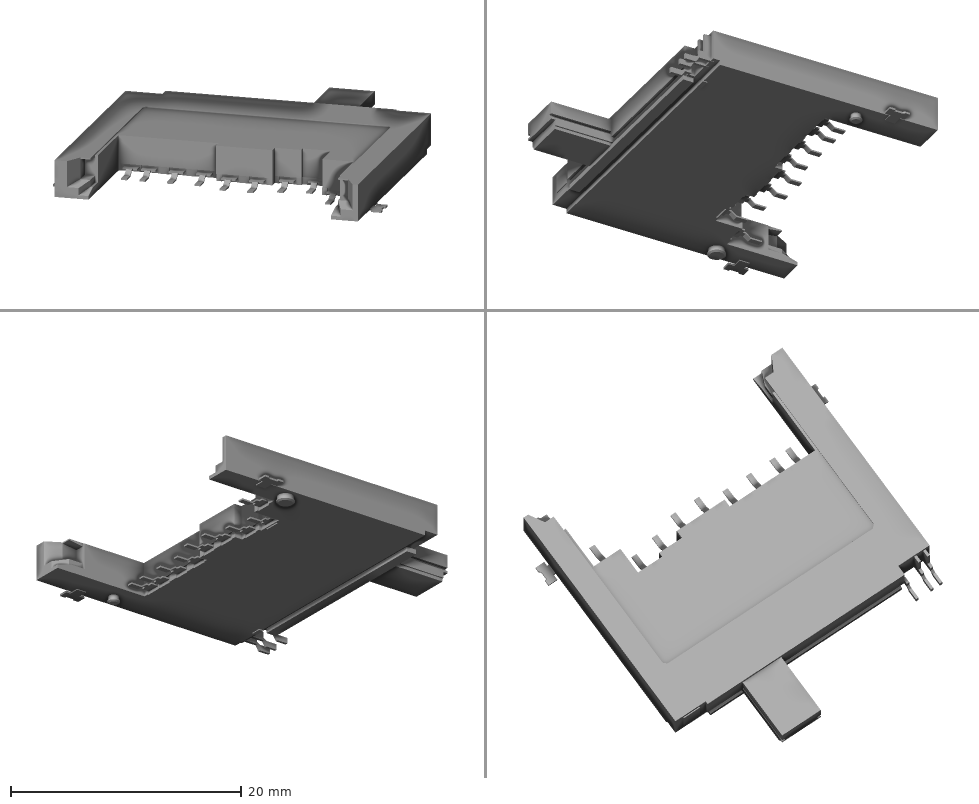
import cadquery as cq


HOUSING_HALF_WIDTH = 13.72
HOUSING_TOP = 3.33
REAR_Y = 23.02
REAR_LEFT_Y = 22.33
REAR_STEP_X = -10.4

OPENING_CENTER_X = 0.33
OPENING_HALF_WIDTH = 10.95
OPENING_LEFT_X = OPENING_CENTER_X - OPENING_HALF_WIDTH
OPENING_RIGHT_X = OPENING_CENTER_X + OPENING_HALF_WIDTH
DECK_SPLIT_Z = 0.65
DECK_STEPS_X = (-1.57, 3.5, 5.9, 8.45)
DECK_FRONT_Y = 9.4
DECK_MIDDLE_Y = 8.6
DECK_NOTCH_Y = 9.83
DECK_RIGHT_Y = 7.15
BASE_LEDGE = 0.12
BASE_SETBACK = 0.05

RECESS_HALF_WIDTH = 11.2
RECESS_REAR_Y = 18.25
RECESS_CORNER = 0.3
RECESS_FLOOR_Z = 3.2

GUIDE_DEPTH = 2.9
FUNNEL_DEPTH = 1.43
UPPER_HALF_WIDTH = 12.12
UPPER_MOUTH_HALF_WIDTH = 12.92
UPPER_FLOOR_Z = 1.37
UPPER_MOUTH_FLOOR_Z = 0.98
ROOF_FRONT_Z = 3.2
ROOF_REAR_Z = 3.0
LOWER_MOUTH_HALF_WIDTH = 11.85
LOWER_FLOOR_Z = 0.75
LOWER_MOUTH_FLOOR_Z = 0.33

COVER_REAR_Y = 23.3
COVER_RIGHT_X = 10.5
COVER_BOTTOM_Z = 1.22
COVER_TOP_Z = 3.0
FOOT_INSET = 0.3
FOOT_HEIGHT = 0.45
RELIEF_FRONT_Y = 21.65
FOOT_FRONT_Y = 22.3
LATCH_LEFT_X = 11.17
LATCH_WIDTH = 1.72
LATCH_DEPTH = 0.1

PLUNGER_LEFT_X = 2.7
PLUNGER_WIDTH = 4.1
PLUNGER_REAR_Y = 29.3
PLUNGER_TOP_Z = 3.0
PLUNGER_GROOVE_TOP_Z = 1.78
PLUNGER_GROOVE_BOTTOM_Z = 1.45
PLUNGER_GROOVE_DEPTH = 0.33
PLUNGER_HEAD_BOTTOM_Z = 1.25
RAIL_REAR_Y = 28.87
RAIL_STEP_Z = 0.68
RAIL_BOTTOM_Z = 0.4
RAIL_STEP = 0.15

CONTACT_PITCH = 2.5
PITCHED_CONTACTS = 8
LAST_CONTACT_X = 9.68
FIRST_CONTACT_X = -9.45
CONTACT_BOTTOM_Z = -0.1
CONTACT_THICKNESS = 0.15
CONTACT_TOP_Z = 0.45
CONTACT_HEAD_WIDTH = 1.3
CONTACT_HEAD_LENGTH = 0.55
CONTACT_BEND_START = 0.83
CONTACT_BEND_END = 1.35
CONTACT_LENGTH = 2.45
CONTACT_TAIL_WIDTH = 0.53
CONTACT_ROOT = 0.3
WINDOW_WIDTH = 1.55
WINDOW_DEPTH = 0.15

SWITCH_PINS_X = (-13.15, -12.2, -10.63)
SWITCH_PIN_THICKNESS = 0.27
SWITCH_PIN_REAR_Y = 24.9
SWITCH_PIN_HEEL_Y = 23.82
SWITCH_PIN_SHANK_Y = 23.5
SWITCH_PIN_SHOULDER_Z = 1.2
SWITCH_PIN_ELBOW_Z = 0.65
SWITCH_PIN_BLADE_Y = 23.0
SWITCH_PIN_BLADE_TOP_Z = 3.0
SWITCH_PIN_TAIL_TOP_Z = 0.45
SWITCH_PIN_ROOT_Z = 0.42
SWITCH_PIN_BOTTOM_Z = -0.1
SHORT_PIN_FRONT_Y = 22.87

TAB_REACH_X = 14.85
TAB_PAD_X = 13.93
TAB_INNER_X = 12.95
TAB_FRONT_Y = 3.42
TAB_REAR_Y = 5.4
TAB_NECK_FRONT_Y = 3.85
TAB_NECK_REAR_Y = 4.85
TAB_NOTCH_DEPTH = 0.18
TAB_HALF_THICKNESS = 0.1

PAD_X = -10.78
PAD_WIDTH = 0.98
PAD_Y = 21.3
PAD_LENGTH = 0.45
PAD_HALF_THICKNESS = 0.1

PEG_Y = 7.37
LEFT_PEG_X = -12.33
LEFT_PEG_RADIUS = 0.55
RIGHT_PEG_X = 12.53
RIGHT_PEG_RADIUS = 0.83
PEG_BOTTOM_Z = -0.62
PEG_BARB_Z = -0.42
PEG_BARB_EDGE_Z = -0.5
PEG_BARB = 0.1
PEG_TAPER = 0.18

OVERLAP = 0.3


def box(x0, x1, y0, y1, z0, z1):
    return cq.Workplane("XY").box(x1 - x0, y1 - y0, z1 - z0, centered=False).translate((x0, y0, z0))


def plate(points, z0, z1):
    return cq.Workplane("XY").workplane(offset=z0).polyline(points).close().extrude(z1 - z0)


def side_profile(points, x0, x1):
    """Extrude an outline of (y, z) points from x0 to x1."""
    return cq.Workplane("YZ").workplane(offset=x0).polyline(points).close().extrude(x1 - x0)


def both_arms(right_shape):
    """Return a right-arm shape together with its mirror image on the left arm."""
    left_shape = right_shape.mirror("YZ", (OPENING_CENTER_X, 0, 0))
    return right_shape.union(left_shape)


def housing_outline(setback, ledge):
    """U-shaped outline; setback moves the left deck steps back, ledge the right two forward."""
    step_1, step_2, step_3, step_4 = DECK_STEPS_X
    front_y = DECK_FRONT_Y + setback
    middle_y = DECK_MIDDLE_Y + setback
    notch_y = DECK_NOTCH_Y - ledge
    right_y = DECK_RIGHT_Y - ledge
    return [
        (-HOUSING_HALF_WIDTH, 0),
        (OPENING_LEFT_X, 0),
        (OPENING_LEFT_X, front_y),
        (step_1, front_y),
        (step_1, middle_y),
        (step_2, middle_y),
        (step_2, front_y),
        (step_3, front_y),
        (step_3, notch_y),
        (step_4, notch_y),
        (step_4, right_y),
        (OPENING_RIGHT_X, right_y),
        (OPENING_RIGHT_X, 0),
        (HOUSING_HALF_WIDTH, 0),
        (HOUSING_HALF_WIDTH, REAR_Y),
        (REAR_STEP_X, REAR_Y),
        (REAR_STEP_X, REAR_LEFT_Y),
        (-HOUSING_HALF_WIDTH, REAR_LEFT_Y),
    ]


def housing():
    base = plate(housing_outline(BASE_SETBACK, BASE_LEDGE), 0, DECK_SPLIT_Z)
    deck = plate(housing_outline(0, 0), DECK_SPLIT_Z, HOUSING_TOP)
    return base.union(deck)


def top_recess():
    left = OPENING_CENTER_X - RECESS_HALF_WIDTH
    recess = box(left, left + 2 * RECESS_HALF_WIDTH, 0, RECESS_REAR_Y, RECESS_FLOOR_Z, HOUSING_TOP)
    return recess.edges("|Z and >Y").chamfer(RECESS_CORNER)


def funnel(inner_x, throat_x, mouth_x, throat_floor, mouth_floor, top):
    """Flared mouth whose floor and outer wall open toward the card entry."""

    def section(plane_y, outer_x, floor):
        corners = [(inner_x, floor), (outer_x, floor), (outer_x, top), (inner_x, top)]
        return cq.Wire.makePolygon([cq.Vector(x, plane_y, z) for x, z in corners], close=True)

    mouth = section(0, mouth_x, mouth_floor)
    throat = section(FUNNEL_DEPTH, throat_x, throat_floor)
    return cq.Workplane(cq.Solid.makeLoft([mouth, throat], True))


def card_guides():
    inner_x = OPENING_RIGHT_X - OVERLAP
    recess_x = OPENING_CENTER_X + RECESS_HALF_WIDTH
    upper_x = OPENING_CENTER_X + UPPER_HALF_WIDTH
    upper_mouth_x = OPENING_CENTER_X + UPPER_MOUTH_HALF_WIDTH
    lower_mouth_x = OPENING_CENTER_X + LOWER_MOUTH_HALF_WIDTH

    upper_funnel = funnel(inner_x, upper_x, upper_mouth_x, UPPER_FLOOR_Z, UPPER_MOUTH_FLOOR_Z, HOUSING_TOP)
    lower_funnel = funnel(inner_x, recess_x, lower_mouth_x, LOWER_FLOOR_Z, LOWER_MOUTH_FLOOR_Z, UPPER_FLOOR_Z)
    channel = side_profile(
        [
            (FUNNEL_DEPTH, UPPER_FLOOR_Z),
            (GUIDE_DEPTH, UPPER_FLOOR_Z),
            (GUIDE_DEPTH, ROOF_REAR_Z),
            (FUNNEL_DEPTH, ROOF_FRONT_Z),
        ],
        inner_x,
        upper_x,
    )
    edge_slot = box(inner_x, recess_x, FUNNEL_DEPTH, GUIDE_DEPTH, LOWER_FLOOR_Z, HOUSING_TOP)
    return both_arms(upper_funnel.union(lower_funnel).union(channel).union(edge_slot))


def rear_details():
    inside_y = REAR_Y - OVERLAP
    cover = box(REAR_STEP_X, COVER_RIGHT_X, inside_y, COVER_REAR_Y, COVER_BOTTOM_Z, HOUSING_TOP)
    foot = box(
        REAR_STEP_X + FOOT_INSET,
        COVER_RIGHT_X - FOOT_INSET,
        FOOT_FRONT_Y,
        COVER_REAR_Y,
        0,
        FOOT_HEIGHT,
    )
    latch_right_x = LATCH_LEFT_X + LATCH_WIDTH
    latch = box(LATCH_LEFT_X, latch_right_x, inside_y, REAR_Y + LATCH_DEPTH, COVER_BOTTOM_Z, COVER_TOP_Z)
    return cover.union(foot).union(latch)


def bottom_relief():
    """Step across the underside, from ahead of the foot to the rear face."""
    width = HOUSING_HALF_WIDTH
    return box(-width, width, RELIEF_FRONT_Y, REAR_Y, 0, FOOT_HEIGHT)


def plunger():
    left = PLUNGER_LEFT_X
    right = PLUNGER_LEFT_X + PLUNGER_WIDTH
    front = REAR_Y - OVERLAP
    head = box(left, right, front, PLUNGER_REAR_Y, PLUNGER_HEAD_BOTTOM_Z, PLUNGER_TOP_Z)
    for x in (left, right - PLUNGER_GROOVE_DEPTH):
        groove = box(
            x,
            x + PLUNGER_GROOVE_DEPTH,
            COVER_REAR_Y,
            PLUNGER_REAR_Y,
            PLUNGER_GROOVE_BOTTOM_Z,
            PLUNGER_GROOVE_TOP_Z,
        )
        head = head.cut(groove)
    rail = box(left, right, front, RAIL_REAR_Y, RAIL_STEP_Z, PLUNGER_HEAD_BOTTOM_Z)
    keel = box(left + RAIL_STEP, right - RAIL_STEP, front, RAIL_REAR_Y, RAIL_BOTTOM_Z, RAIL_STEP_Z)
    return head.union(rail).union(keel)


def contact_positions():
    """List the (x, y) of each contact at the deck edge."""
    step_1, step_2, step_3, step_4 = DECK_STEPS_X
    positions = []
    row = [LAST_CONTACT_X - CONTACT_PITCH * i for i in range(PITCHED_CONTACTS)]
    for x in row + [FIRST_CONTACT_X]:
        if x > step_4:
            y = DECK_RIGHT_Y - BASE_LEDGE
        elif x > step_3:
            y = DECK_NOTCH_Y
        elif step_1 < x < step_2:
            y = DECK_MIDDLE_Y
        else:
            y = DECK_FRONT_Y
        positions.append((x, y))
    return positions


def contact_window(x, y):
    half = WINDOW_WIDTH / 2
    return box(x - half, x + half, y, y + WINDOW_DEPTH, 0, DECK_SPLIT_Z)


def contact(x, y):
    """Flat head leaving the base, bent down into a narrow solder tail."""
    head_half = CONTACT_HEAD_WIDTH / 2
    tail_half = CONTACT_TAIL_WIDTH / 2
    head_bottom = CONTACT_TOP_Z - CONTACT_THICKNESS
    tail_top = CONTACT_BOTTOM_Z + CONTACT_THICKNESS
    head = box(
        x - head_half,
        x + head_half,
        y - CONTACT_HEAD_LENGTH,
        y + CONTACT_ROOT,
        head_bottom,
        CONTACT_TOP_Z,
    )
    tail = side_profile(
        [
            (y, CONTACT_TOP_Z),
            (y - CONTACT_BEND_START, CONTACT_TOP_Z),
            (y - CONTACT_BEND_END, tail_top),
            (y - CONTACT_LENGTH, tail_top),
            (y - CONTACT_LENGTH, CONTACT_BOTTOM_Z),
            (y - CONTACT_BEND_END, CONTACT_BOTTOM_Z),
            (y - CONTACT_BEND_START, head_bottom),
            (y, head_bottom),
        ],
        x - tail_half,
        x + tail_half,
    )
    return head.union(tail)


def switch_pin(x, front_y):
    half = SWITCH_PIN_THICKNESS / 2
    return side_profile(
        [
            (SWITCH_PIN_REAR_Y, SWITCH_PIN_BOTTOM_Z),
            (SWITCH_PIN_HEEL_Y, SWITCH_PIN_BOTTOM_Z),
            (SWITCH_PIN_SHANK_Y, SWITCH_PIN_ROOT_Z),
            (front_y, SWITCH_PIN_ROOT_Z),
            (front_y, SWITCH_PIN_SHOULDER_Z),
            (SWITCH_PIN_SHANK_Y, SWITCH_PIN_SHOULDER_Z),
            (SWITCH_PIN_SHANK_Y, SWITCH_PIN_ELBOW_Z),
            (SWITCH_PIN_HEEL_Y, SWITCH_PIN_TAIL_TOP_Z),
            (SWITCH_PIN_REAR_Y, SWITCH_PIN_TAIL_TOP_Z),
        ],
        x - half,
        x + half,
    )


def switch_pins():
    """Two pins with tall blades on the rear face, and a short one rooted beside the cover."""
    outer_x, middle_x, inner_x = SWITCH_PINS_X
    front_y = REAR_LEFT_Y - OVERLAP
    inner_pin = switch_pin(inner_x, SHORT_PIN_FRONT_Y)
    root = box(
        inner_x,
        REAR_STEP_X + OVERLAP,
        SHORT_PIN_FRONT_Y,
        REAR_Y,
        FOOT_HEIGHT,
        SWITCH_PIN_SHOULDER_Z,
    )
    pins = inner_pin.union(root)
    half = SWITCH_PIN_THICKNESS / 2
    for x in (outer_x, middle_x):
        blade = box(x - half, x + half, front_y, SWITCH_PIN_BLADE_Y, SWITCH_PIN_ROOT_Z, SWITCH_PIN_BLADE_TOP_Z)
        pins = pins.union(switch_pin(x, front_y)).union(blade)
    return pins


def solder_tab():
    """Right-hand tab; its inner end lies under the housing."""
    pad = plate(
        [
            (TAB_PAD_X, TAB_FRONT_Y),
            (TAB_REACH_X, TAB_FRONT_Y),
            (TAB_REACH_X, TAB_NECK_FRONT_Y),
            (TAB_REACH_X - TAB_NOTCH_DEPTH, TAB_NECK_FRONT_Y + TAB_NOTCH_DEPTH),
            (TAB_REACH_X - TAB_NOTCH_DEPTH, TAB_NECK_REAR_Y),
            (TAB_REACH_X, TAB_NECK_REAR_Y),
            (TAB_REACH_X, TAB_REAR_Y),
            (TAB_PAD_X, TAB_REAR_Y),
        ],
        -TAB_HALF_THICKNESS,
        TAB_HALF_THICKNESS,
    )
    neck = box(
        TAB_INNER_X,
        TAB_PAD_X,
        TAB_NECK_FRONT_Y,
        TAB_NECK_REAR_Y,
        -TAB_HALF_THICKNESS,
        TAB_HALF_THICKNESS,
    )
    return pad.union(neck)


def peg(x, radius):
    """Round locating peg with a barbed, tapered tip."""
    neck_radius = radius - PEG_BARB
    profile = [
        (0, OVERLAP),
        (neck_radius, OVERLAP),
        (neck_radius, PEG_BARB_Z),
        (radius, PEG_BARB_Z),
        (radius, PEG_BARB_EDGE_Z),
        (radius - PEG_TAPER, PEG_BOTTOM_Z),
        (0, PEG_BOTTOM_Z),
    ]
    turned = cq.Workplane("XZ").polyline(profile).close().revolve(360, (0, 0, 0), (0, 1, 0))
    return turned.translate((x, PEG_Y, 0))


body = housing().cut(top_recess()).cut(card_guides()).cut(bottom_relief()).union(rear_details())
for contact_x, contact_y in contact_positions():
    body = body.cut(contact_window(contact_x, contact_y)).union(contact(contact_x, contact_y))

right_tab = solder_tab()
pad_end_x = PAD_X + PAD_WIDTH
pad_end_y = PAD_Y + PAD_LENGTH
solder_pad = box(PAD_X, pad_end_x, PAD_Y, pad_end_y, -PAD_HALF_THICKNESS, PAD_HALF_THICKNESS)

result = (
    body.union(plunger())
    .union(switch_pins())
    .union(right_tab)
    .union(right_tab.mirror("YZ"))
    .union(solder_pad)
    .union(peg(LEFT_PEG_X, LEFT_PEG_RADIUS))
    .union(peg(RIGHT_PEG_X, RIGHT_PEG_RADIUS))
)